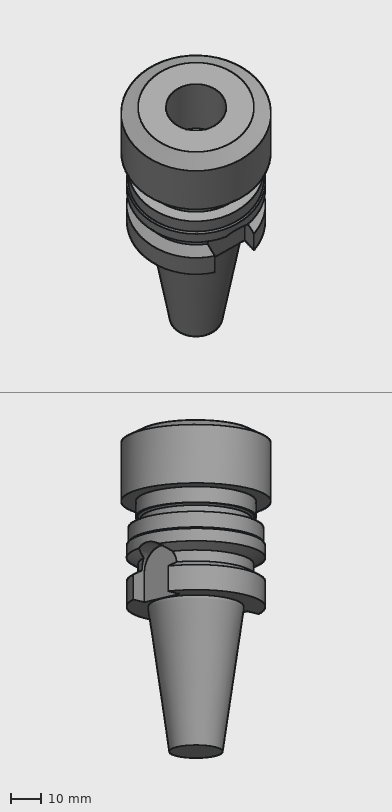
import cadquery as cq

total_height = 108.4
taper_top = 48.5
flange_bottom = 49.4
lower_flange_top = 58.0
groove_bottom = 60.2
groove_top = 64.0
upper_flange_bottom = 66.1
upper_flange_top = 70.4
ring_bottom = 71.0
ring_top = 76.3
collar_chamfer_bottom = 79.5
collar_bottom = 80.1
head_bottom = 85.4
head_chamfer_height = 3.0

taper_small_radius = 8.9
taper_large_radius = 15.8
flange_radius = 23.0
groove_radius = 19.2
ring_radius = 22.4
neck_radius = 18.4
collar_radius = 19.9
collar_chamfer_radius = 19.3
head_radius = 24.8
head_top_radius = 19.2

bore_radius = 10.0
bore_depth = total_height - head_bottom

slot_radius = 8.0
slot_top = 67.4
slot_floor_distance = 16.3


def turned_body():
    """Taper shank, grooved flange, neck and head as one revolved half profile."""
    profile = [
        (0, 0),
        (taper_small_radius, 0),
        (taper_large_radius, taper_top),
        (taper_large_radius, flange_bottom),
        (flange_radius, flange_bottom),
        (flange_radius, lower_flange_top),
        (groove_radius, groove_bottom),
        (groove_radius, groove_top),
        (flange_radius, upper_flange_bottom),
        (flange_radius, upper_flange_top),
        (ring_radius, ring_bottom),
        (ring_radius, ring_top),
        (neck_radius, ring_top),
        (neck_radius, collar_chamfer_bottom),
        (collar_chamfer_radius, collar_bottom),
        (collar_radius, collar_bottom),
        (collar_radius, head_bottom),
        (head_radius, head_bottom),
        (head_radius, total_height - head_chamfer_height),
        (head_top_radius, total_height),
        (0, total_height),
    ]
    return cq.Workplane("XZ").polyline(profile).close().revolve(360, (0, 0, 0), (0, 1, 0))


def drive_slot(side):
    """Cutter for the slot on the +X (side = 1) or -X (side = -1) face of the flange."""
    arc_start = slot_top - slot_radius
    return (
        cq.Workplane("YZ", origin=(side * slot_floor_distance, 0, 0))
        .moveTo(-slot_radius, flange_bottom)
        .lineTo(-slot_radius, arc_start)
        .threePointArc((0, slot_top), (slot_radius, arc_start))
        .lineTo(slot_radius, flange_bottom)
        .close()
        .extrude(side * (head_radius - slot_floor_distance))
    )


bore = cq.Workplane("XY", origin=(0, 0, total_height)).circle(bore_radius).extrude(-bore_depth)

result = turned_body().cut(bore)
for side in (-1, 1):
    result = result.cut(drive_slot(side))